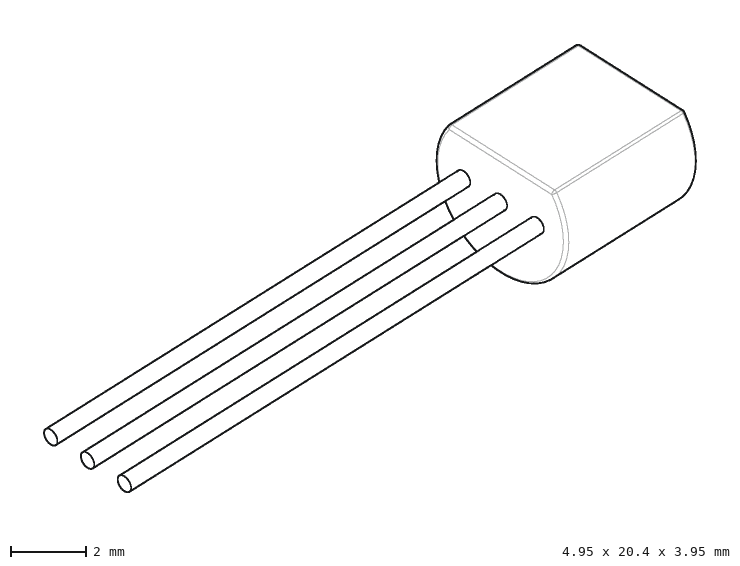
import cadquery as cq
import math

total_length = 20.45
case_diameter = 4.95
case_height = 3.95
case_length = 4.95
edge_radius = 0.1

lead_diameter = 0.51
lead_pitch = 1.4
lead_count = 3

case_radius = case_diameter / 2
flat_height = case_height - case_radius
flat_half_width = math.sqrt(case_radius**2 - flat_height**2)
lead_length = total_length - case_length


def make_case():
    """D-shaped case behind the Y = 0 face, round about Y, with every edge rounded."""
    return (
        cq.Workplane("XZ")
        .moveTo(-flat_half_width, flat_height)
        .threePointArc((0, -case_radius), (flat_half_width, flat_height))
        .close()
        .extrude(-case_length)
        .edges()
        .fillet(edge_radius)
    )


def make_leads():
    """Row of round leads running from the Y = 0 face toward -Y."""
    first_x = -lead_pitch * (lead_count - 1) / 2
    positions = [(first_x + i * lead_pitch, 0) for i in range(lead_count)]
    return cq.Workplane("XZ").pushPoints(positions).circle(lead_diameter / 2).extrude(lead_length)


result = make_case().union(make_leads())